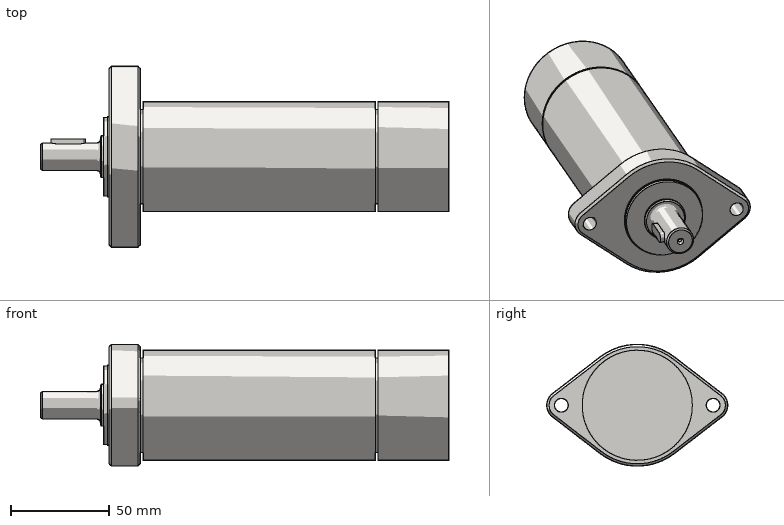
import cadquery as cq
import math

overall_length = 207.3
boss_face = 30.3
boss_rim_start = 30.9
pilot_start = 32.0
pilot_shoulder_start = 34.0
flange_start = 34.6
flange_end = 50.5
body_start = 52.0
groove_start = 170.0
groove_end = 171.2

shaft_diameter = 14.0
boss_face_diameter = 20.0
boss_rim_diameter = 21.4
pilot_diameter = 40.0
pilot_shoulder_diameter = 40.8
neck_diameter = 48.0
body_diameter = 56.0
shaft_chamfer = 0.8
boss_fillet_radius = 1.9

centre_mouth_diameter = 3.3
centre_drill_diameter = 1.7
centre_cone_depth = (centre_mouth_diameter - centre_drill_diameter) / 2 * math.sqrt(3)
centre_drill_depth = 4.1

flange_width = 92.0
flange_height = 62.0
hole_spacing = 77.1
hole_diameter = 6.8
flange_chamfer = 1.2

key_start = 5.2
key_length = 17.6
key_width = 5.0
key_bottom = 4.1
key_top = 9.1


def cylinder(start, end, diameter):
    """Cylinder on the X axis between two axial positions."""
    return cq.Workplane("YZ", origin=(start, 0, 0)).circle(diameter / 2).extrude(end - start)


def cone(start, end, start_diameter, end_diameter):
    """Conical frustum on the X axis between two axial positions."""
    return (
        cq.Workplane("XY")
        .moveTo(start, 0)
        .lineTo(start, start_diameter / 2)
        .lineTo(end, end_diameter / 2)
        .lineTo(end, 0)
        .close()
        .revolve(360, (0, 0, 0), (1, 0, 0))
    )


def make_shaft():
    """Chamfered output shaft with a centre drilling."""
    shaft = cylinder(0, flange_start, shaft_diameter).faces("<X").chamfer(shaft_chamfer)
    mouth = cone(0, centre_cone_depth, centre_mouth_diameter, centre_drill_diameter)
    drill = cylinder(0, centre_drill_depth, centre_drill_diameter)
    return shaft.cut(mouth).cut(drill)


def make_key():
    """Feather key with its rounded ends along the shaft."""
    return (
        cq.Workplane("XZ", origin=(key_start + key_length / 2, key_bottom, 0))
        .slot2D(key_length, key_width)
        .extrude(key_bottom - key_top)
    )


def make_boss():
    """Chamfered boss joined to the shaft by a concave fillet."""
    shaft_radius = shaft_diameter / 2
    fillet_start = boss_face - boss_fillet_radius
    fillet_top = shaft_radius + boss_fillet_radius
    arc_leg = boss_fillet_radius * math.sqrt(0.5)
    return (
        cq.Workplane("XY")
        .moveTo(fillet_start, 0)
        .lineTo(fillet_start, shaft_radius)
        .threePointArc((fillet_start + arc_leg, fillet_top - arc_leg), (boss_face, fillet_top))
        .lineTo(boss_face, boss_face_diameter / 2)
        .lineTo(boss_rim_start, boss_rim_diameter / 2)
        .lineTo(pilot_start, boss_rim_diameter / 2)
        .lineTo(pilot_start, 0)
        .close()
        .revolve(360, (0, 0, 0), (1, 0, 0))
    )


def make_pilot():
    """Locating pilot with a slightly larger shoulder against the flange."""
    pilot = cylinder(pilot_start, flange_start, pilot_diameter)
    return pilot.union(cylinder(pilot_shoulder_start, flange_start, pilot_shoulder_diameter))


def make_flange():
    """Central disc and two ears joined by tangent flats, with two through holes."""
    disc_radius = flange_height / 2
    ear_centre = hole_spacing / 2
    ear_radius = flange_width / 2 - ear_centre
    tangent_sine = (disc_radius - ear_radius) / ear_centre
    tangent_cosine = math.sqrt(1 - tangent_sine**2)
    disc_y = disc_radius * tangent_sine
    disc_z = disc_radius * tangent_cosine
    ear_y = ear_centre + ear_radius * tangent_sine
    ear_z = ear_radius * tangent_cosine

    flange = (
        cq.Workplane("YZ", origin=(flange_start, 0, 0))
        .moveTo(-disc_y, disc_z)
        .threePointArc((0, disc_radius), (disc_y, disc_z))
        .lineTo(ear_y, ear_z)
        .threePointArc((flange_width / 2, 0), (ear_y, -ear_z))
        .lineTo(disc_y, -disc_z)
        .threePointArc((0, -disc_radius), (-disc_y, -disc_z))
        .lineTo(-ear_y, -ear_z)
        .threePointArc((-flange_width / 2, 0), (-ear_y, ear_z))
        .close()
        .extrude(flange_end - flange_start)
        .faces("<X or >X")
        .chamfer(flange_chamfer)
    )
    holes = (
        cq.Workplane("YZ", origin=(flange_start, 0, 0))
        .pushPoints([(-ear_centre, 0), (ear_centre, 0)])
        .circle(hole_diameter / 2)
        .extrude(flange_end - flange_start)
    )
    return flange.cut(holes)


def make_body():
    """Front and rear housings joined by a slimmer core, exposed in two narrow grooves."""
    core = cylinder(flange_end, overall_length, neck_diameter)
    front_housing = cylinder(body_start, groove_start, body_diameter)
    rear_housing = cylinder(groove_end, overall_length, body_diameter)
    return core.union(front_housing).union(rear_housing)


result = (
    make_flange()
    .union(make_body())
    .union(make_pilot())
    .union(make_boss())
    .union(make_shaft())
    .union(make_key())
)